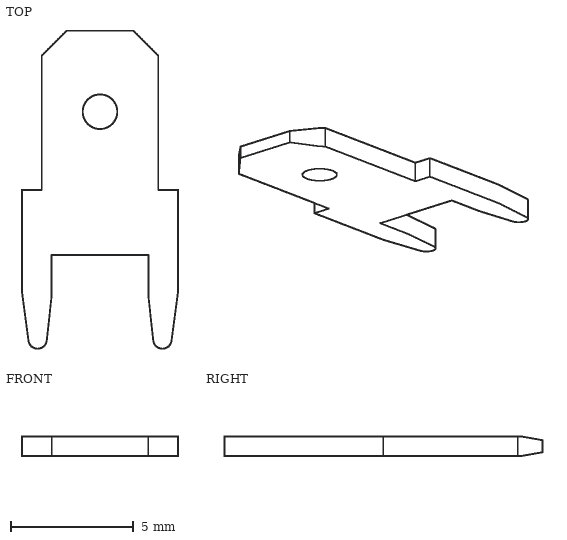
import cadquery as cq
import math


body_width = 6.35
total_length = 12.95
thickness = 0.81

tab_width = 4.75
tab_length = 6.48
tip_corner = 1.02
bevel_length = 0.88
bevel_angle = 10.0

hole_diameter = 1.4
hole_from_tip = 3.3

leg_pitch = 5.08
leg_gap = 3.93
leg_length = 3.81
outer_taper_length = 2.28
inner_taper_length = 2.14
leg_end_radius = 0.38

tip_y = total_length / 2
bottom_y = -total_length / 2
shoulder_y = tip_y - tab_length
gap_top_y = bottom_y + leg_length
half_body = body_width / 2
half_tab = tab_width / 2
half_gap = leg_gap / 2
leg_end_x = leg_pitch / 2
leg_end_y = bottom_y + leg_end_radius


def leg_tangent_point(start, side):
    """Point where a taper line from start touches the round leg end.

    side is +1 for the outer taper and -1 for the inner taper.
    """
    dx = start[0] - leg_end_x
    dy = start[1] - leg_end_y
    direction = math.atan2(dy, dx)
    half_angle = math.acos(leg_end_radius / math.hypot(dx, dy))
    angle = direction - side * half_angle
    return (
        leg_end_x + leg_end_radius * math.cos(angle),
        leg_end_y + leg_end_radius * math.sin(angle),
    )


def make_plate():
    """Half outline on the +X side, mirrored across the Y axis and extruded."""
    outer_start = (half_body, bottom_y + outer_taper_length)
    inner_start = (half_gap, bottom_y + inner_taper_length)
    half_plate = (
        cq.Workplane("XY")
        .workplane(offset=-thickness / 2)
        .moveTo(0, tip_y)
        .lineTo(half_tab - tip_corner, tip_y)
        .lineTo(half_tab, tip_y - tip_corner)
        .lineTo(half_tab, shoulder_y)
        .lineTo(half_body, shoulder_y)
        .lineTo(*outer_start)
        .lineTo(*leg_tangent_point(outer_start, 1))
        .threePointArc((leg_end_x, bottom_y), leg_tangent_point(inner_start, -1))
        .lineTo(*inner_start)
        .lineTo(half_gap, gap_top_y)
        .lineTo(0, gap_top_y)
    )
    return half_plate.mirrorY().extrude(thickness)


def make_tip_bevel(face_side):
    """Wedge that thins the tip from the top face (+1) or the bottom face (-1)."""
    face_z = face_side * thickness / 2
    bevel_depth = bevel_length * math.tan(math.radians(bevel_angle))
    return (
        cq.Workplane("YZ")
        .polyline([
            (tip_y - bevel_length, face_z),
            (tip_y, face_z),
            (tip_y, face_z - face_side * bevel_depth),
        ])
        .close()
        .extrude(half_body, both=True)
    )


def make_tab_hole():
    """Cylinder through the full thickness on the tab centreline."""
    return (
        cq.Workplane("XY")
        .center(0, tip_y - hole_from_tip)
        .circle(hole_diameter / 2)
        .extrude(thickness, both=True)
    )


result = make_plate().cut(make_tab_hole())
for face_side in (1, -1):
    result = result.cut(make_tip_bevel(face_side))